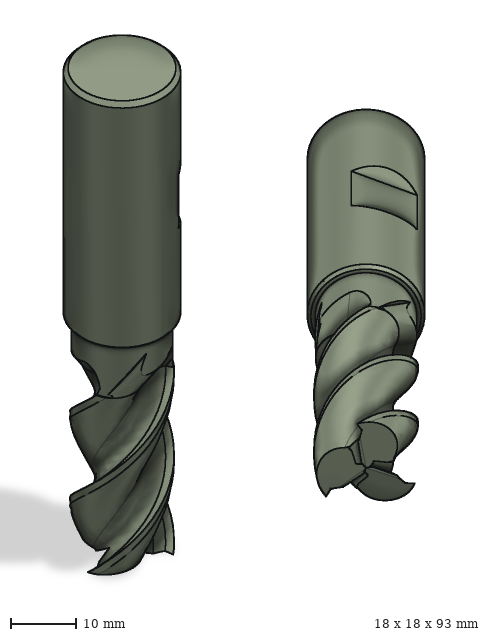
import cadquery as cq
import math

total_length = 93.0
cutter_length = 35.0
shank_bottom = 45.85

shank_radius = 9.0
neck_radius = 7.8
top_chamfer_height = 0.8
top_chamfer_inset = 0.7
bottom_chamfer = 0.6

flat_depth = 1.9
flat_center = 69.0
flat_floor_length = 10.2
flat_mouth_length = 13.2

flute_count = 3
tooth_pitch = 360 / flute_count
helix_lead = 50.0
first_edge_angle = 177.0
cutter_radius = 8.0
land_angle = 11.0
back_radius = 6.7
back_angle = 45.0
floor_edge_radius = 4.6
floor_edge_angle = 76.0
core_radius = 4.3
core_angle = 103.0
rake_break_radius = 6.7
rake_break_angle = 123.5

runout_heading = 80.0
runout_outward_slope = 0.55

end_relief_slope = 11.0
gash_start = 1.1
gash_slope = 25.0
gash_turn = 16.0
gash_rake_angle = 30.0
gash_back_angle = 60.0


def polar(radius, degrees):
    angle = math.radians(degrees)
    return (radius * math.cos(angle), radius * math.sin(angle))


def twist_at(height):
    """Turn of the helix, in degrees, between Z = 0 and the given height."""
    return 360 * height / helix_lead


def draw_flute(outline, edge):
    """Continue an outline from a land down the tooth back and up the next rake face."""
    return (
        outline
        .threePointArc(
            polar(back_radius, edge + back_angle),
            polar(floor_edge_radius, edge + floor_edge_angle),
        )
        .threePointArc(
            polar(core_radius, edge + core_angle),
            polar(rake_break_radius, edge + rake_break_angle),
        )
        .lineTo(*polar(cutter_radius, edge + tooth_pitch))
    )


def fluted_bar(length):
    """Helical bar with lands, curved tooth backs and hollow rake faces."""
    profile = cq.Workplane("XY").moveTo(*polar(cutter_radius, first_edge_angle))
    for tooth in range(flute_count):
        edge = first_edge_angle + tooth * tooth_pitch
        profile = profile.threePointArc(
            polar(cutter_radius, edge + land_angle / 2),
            polar(cutter_radius, edge + land_angle),
        )
        profile = draw_flute(profile, edge)
    return profile.close().twistExtrude(length, twist_at(length))


def end_relief():
    """Wedge below the end face of a tooth whose cutting edge lies along +X."""
    reach = 2 * cutter_radius
    rise = reach * math.tan(math.radians(end_relief_slope))
    return (
        cq.Workplane("YZ")
        .polyline([(0, 0), (reach, rise), (reach, -rise), (0, -rise)])
        .close()
        .extrude(reach)
    )


def end_gash():
    """Notch in front of a cutting edge along +X, deepening towards the rim."""
    reach = 2 * cutter_radius
    rake_run = reach * math.tan(math.radians(gash_rake_angle))
    back_run = reach * math.tan(math.radians(gash_back_angle))
    return (
        cq.Workplane("YZ")
        .polyline([(0, 0), (-rake_run, -reach), (-back_run, -reach)])
        .close()
        .extrude(reach)
        .rotate((0, 0, 0), (0, 1, 0), -gash_slope)
        .rotate((0, 0, 0), (0, 0, 1), gash_turn)
        .translate((0, 0, gash_start))
    )


def make_cutter():
    cutter = fluted_bar(cutter_length)
    for tooth in range(flute_count):
        angle = first_edge_angle + tooth * tooth_pitch
        for cut in (end_relief(), end_gash()):
            cutter = cutter.cut(cut.rotate((0, 0, 0), (0, 0, 1), angle))
    return cutter


def neck_flute(edge):
    """Straight, outward-leaning continuation of the flute behind a cutting edge."""
    height = shank_bottom - cutter_length
    outside = 2 * cutter_radius
    section = cq.Workplane("XY", origin=(0, 0, cutter_length))
    section = section.moveTo(*polar(cutter_radius, edge + land_angle))
    section = (
        draw_flute(section, edge)
        .lineTo(*polar(outside, edge + tooth_pitch))
        .lineTo(*polar(outside, edge + land_angle))
        .close()
    )
    heading = edge + runout_heading
    around_slope = 2 * math.pi * floor_edge_radius / helix_lead
    outward_x, outward_y = polar(runout_outward_slope * height, heading)
    around_x, around_y = polar(around_slope * height, heading + 90)
    sweep = cq.Vector(outward_x + around_x, outward_y + around_y, height)
    face = cq.Face.makeFromWires(section.val())
    return cq.Workplane(obj=cq.Solid.extrudeLinear(face, sweep))


def clamping_flat():
    """Trapezoidal notch across the +Y side of the shank."""
    floor_y = shank_radius - flat_depth
    half_floor = flat_floor_length / 2
    half_mouth = flat_mouth_length / 2
    return (
        cq.Workplane("YZ")
        .polyline([
            (floor_y, flat_center - half_floor),
            (shank_radius, flat_center - half_mouth),
            (shank_radius, flat_center + half_mouth),
            (floor_y, flat_center + half_floor),
        ])
        .close()
        .extrude(shank_radius, both=True)
    )


def make_shank():
    shank = (
        cq.Workplane("XZ")
        .polyline([
            (0, cutter_length),
            (neck_radius, cutter_length),
            (neck_radius, shank_bottom - bottom_chamfer),
            (shank_radius - bottom_chamfer, shank_bottom - bottom_chamfer),
            (shank_radius, shank_bottom),
            (shank_radius, total_length - top_chamfer_height),
            (shank_radius - top_chamfer_inset, total_length),
            (0, total_length),
        ])
        .close()
        .revolve(360, (0, 0, 0), (0, 1, 0))
    )
    shank = shank.cut(clamping_flat())
    for tooth in range(flute_count):
        edge = first_edge_angle + twist_at(cutter_length) + tooth * tooth_pitch
        shank = shank.cut(neck_flute(edge))
    return shank


cutter = make_cutter()
shank = make_shank()
result = cq.Compound.makeCompound([cutter.val(), shank.val()])